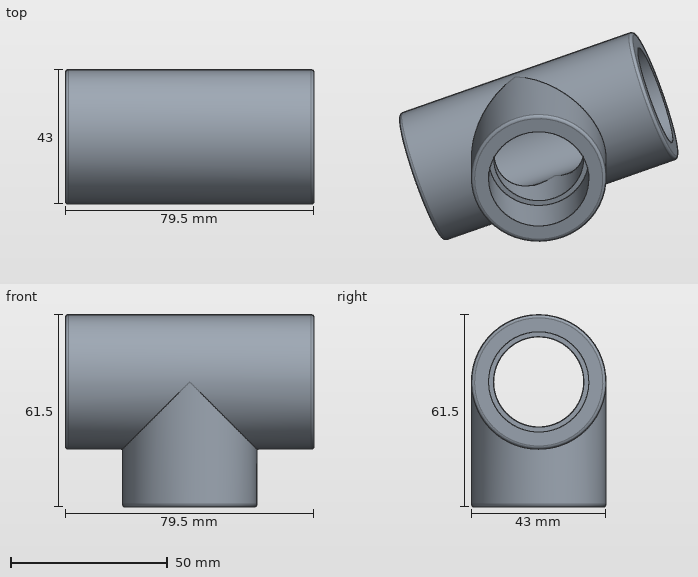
import cadquery as cq

run_length = 79.5
overall_height = 61.5
outer_diameter = 43.0
bore_diameter = 28.8
socket_diameter = 32.0
socket_depth = 19.2
rim_radius = 1.0

outer_radius = outer_diameter / 2
half_run = run_length / 2
branch_length = overall_height - outer_radius

arms = [
    (cq.Vector(-1, 0, 0), half_run),
    (cq.Vector(1, 0, 0), half_run),
    (cq.Vector(0, 0, -1), branch_length),
]
center = cq.Vector(0, 0, 0)


def cylinder(diameter, length, start, direction):
    return cq.Workplane(cq.Solid.makeCylinder(diameter / 2, length, start, direction))


def tee_body():
    """Run and branch joined, with rounded outer rims at the open ends."""
    run_start = cq.Vector(-half_run, 0, 0)
    run = cylinder(outer_diameter, run_length, run_start, cq.Vector(1, 0, 0))
    run = run.faces("<X or >X").edges().fillet(rim_radius)
    branch = cylinder(outer_diameter, branch_length, center, cq.Vector(0, 0, -1))
    branch = branch.faces("<Z").edges().fillet(rim_radius)
    return run.union(branch)


def arm_cavity(direction, length):
    """Through bore of one arm with a wider pipe socket at its open end."""
    bore = cylinder(bore_diameter, length, center, direction)
    socket_start = direction * (length - socket_depth)
    socket = cylinder(socket_diameter, socket_depth, socket_start, direction)
    return bore.union(socket)


result = tee_body()
for arm_direction, arm_length in arms:
    result = result.cut(arm_cavity(arm_direction, arm_length))